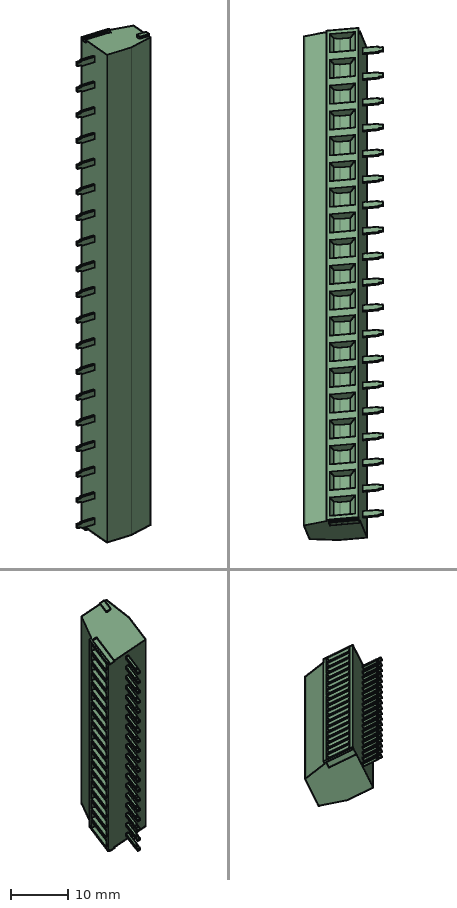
import cadquery as cq

POLES = 19
total_length = 97.5
key_height = 0.5
body_length = total_length - 2 * key_height
pitch = body_length / POLES
width = 8.1
total_depth = 13.7
depth = 10.0

ledge_width = 0.5
ledge_depth = 5.8
shoulder_depth = 5.1
top_left = 1.4
top_right = 6.8
rim_wall = 0.2

key_flare = 0.1
key_lip = 0.2
side_key_start = 0.3
side_key_width = 1.1
side_key_length = 5.4
back_key_start = 5.4
back_key_width = 1.0
back_key_length = 1.95

entry_span = 4.6
entry_height = 3.6
entry_from_base = 0.6
entry_depth = 1.2
base_wall_run = 1.1
end_wall_run = 0.5
lip_run = 0.6
lip_depth = 1.0
ramp_run = 1.0

pin_thickness = 0.5
pin_width = 1.1
pin_tip_width = 0.7
pin_length = total_depth - depth
pin_wide_length = 2.7
pin_taper_length = 0.3


def make_housing():
    outline = [
        (0, 0),
        (width, 0),
        (width, shoulder_depth),
        (top_right, depth - rim_wall),
        (top_right, depth),
        (top_left, depth),
        (top_left, depth - rim_wall),
        (ledge_width, ledge_depth),
        (0, ledge_depth),
    ]
    return cq.Workplane("XY").polyline(outline).close().extrude(body_length)


def make_key(start_x, start_y, key_width, length, base_z):
    """Dovetail bar along Y: its sides flare upward from base_z and end in a straight lip."""
    top_z = base_z + key_height
    section = [
        (start_x + key_flare, base_z),
        (start_x + key_width - key_flare, base_z),
        (start_x + key_width, top_z - key_lip),
        (start_x + key_width, top_z),
        (start_x, top_z),
        (start_x, top_z - key_lip),
    ]
    return cq.Workplane("XZ", origin=(0, start_y, 0)).polyline(section).close().extrude(-length)


def make_entry(z):
    """Shallow funnel in the -X face; its wall far from the base is a steep lip above a gentle ramp."""
    entry_top = entry_from_base + entry_span
    cross_section = [
        (0, entry_from_base),
        (entry_depth, entry_from_base + base_wall_run),
        (entry_depth, entry_top - lip_run - ramp_run),
        (lip_depth, entry_top - lip_run),
        (0, entry_top),
    ]
    outer_half = entry_height / 2
    floor_half = outer_half - end_wall_run
    taper = [
        (0, z - outer_half),
        (entry_depth, z - floor_half),
        (entry_depth, z + floor_half),
        (0, z + outer_half),
    ]
    funnel = cq.Workplane("XY", origin=(0, 0, z - outer_half)).polyline(cross_section).close()
    wedge = cq.Workplane("XZ").polyline(taper).close()
    return funnel.extrude(entry_height).intersect(wedge.extrude(-depth))


def make_pin(z):
    """Flat pin pointing to -Y, tapering to a narrower tip."""
    half = pin_width / 2
    tip_half = pin_tip_width / 2
    tip_start = pin_wide_length + pin_taper_length
    outline = [
        (0, -half),
        (-pin_wide_length, -half),
        (-tip_start, -tip_half),
        (-pin_length, -tip_half),
        (-pin_length, tip_half),
        (-tip_start, tip_half),
        (-pin_wide_length, half),
        (0, half),
    ]
    pin = cq.Workplane("YZ", origin=((width - pin_thickness) / 2, 0, z))
    return pin.polyline(outline).close().extrude(pin_thickness)


result = make_housing()
for pole in range(POLES):
    pole_z = pole * pitch + pitch / 2
    result = result.cut(make_entry(pole_z)).union(make_pin(pole_z))

side_key = make_key(side_key_start, 0, side_key_width, side_key_length, 0).mirror("XY")
result = result.union(side_key)
result = result.cut(side_key.translate((0, 0, body_length)))

result = result.union(
    make_key(back_key_start, depth - back_key_length, back_key_width, back_key_length, body_length)
)